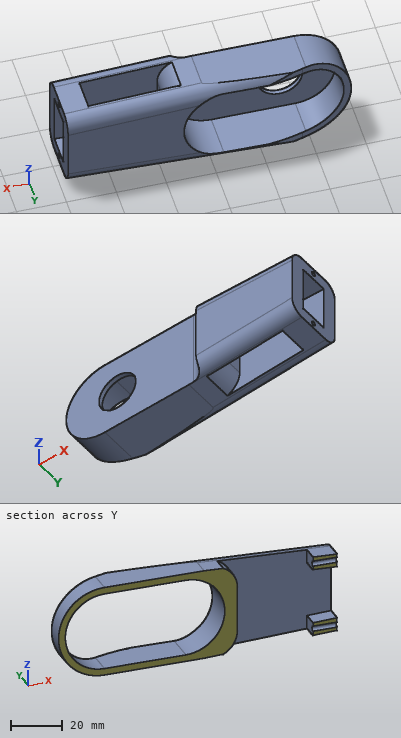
import cadquery as cq
import math

length = 115.0
depth = 27.0
width = 38.0
end_width = 33.1
taper_start = 60.0
edge_radius = 6.0

lug_front = edge_radius
lug_back = depth - edge_radius
tip_radius = width / 2
step_x = 68.1
ramp_length = 40.8

hole_x = 25.1
hole_diameter = 17.9

wall = 3.0
pocket_floor = 8.0
pocket_end = 68.5
pocket_radius = tip_radius - wall
pocket_start = wall

window_start = 68.0
window_end = 105.0
window_front = 7.0
window_back = depth - window_front
roof = 5.6
lip_length = 6.0
lip_radius = 10.0

pin_diameter = 2.0
pin_depth_below_face = 3.0

taper_slope = (width - end_width) / 2 / (length - taper_start)


def half_height(x):
    """Half height of the tapered body at a given X."""
    return end_width / 2 + taper_slope * (length - x)


def extrude_y(outline, y_start, y_end):
    """Extrude a closed XZ outline between two Y positions."""
    return outline.extrude(-(y_end - y_start)).translate((0, y_start, 0))


def make_tapered_body():
    """Long wedge with all four lengthwise edges rounded."""
    start_half = half_height(0)
    end_half = end_width / 2
    outline = (
        cq.Workplane("XZ")
        .moveTo(0, -start_half)
        .lineTo(length, -end_half)
        .lineTo(length, end_half)
        .lineTo(0, start_half)
        .close()
    )
    wedge = extrude_y(outline, 0, depth)
    long_edges = wedge.faces("<Y or >Y").edges("not(|Z)")
    return wedge.newObject(long_edges.vals()).fillet(edge_radius)


def make_plan_limit():
    """Constant-width prism with the semicircular tip."""
    outline = (
        cq.Workplane("XZ")
        .moveTo(tip_radius, -tip_radius)
        .lineTo(length, -tip_radius)
        .lineTo(length, tip_radius)
        .lineTo(tip_radius, tip_radius)
        .threePointArc((0, 0), (tip_radius, -tip_radius))
        .close()
    )
    return extrude_y(outline, 0, depth)


def make_side_limit():
    """Side profile: S-shaped ramp at the back, concave step at the front."""
    return (
        cq.Workplane("XY")
        .moveTo(0, lug_front)
        .lineTo(step_x - edge_radius, lug_front)
        .tangentArcPoint((step_x, 0), relative=False)
        .lineTo(length, 0)
        .lineTo(length, depth)
        .lineTo(ramp_length, depth)
        .tangentArcPoint((ramp_length / 2, (lug_back + depth) / 2), relative=False)
        .tangentArcPoint((0, lug_back), relative=False)
        .close()
        .extrude(width / 2, both=True)
    )


def make_hole():
    """Round hole through the full depth."""
    outline = cq.Workplane("XZ").center(hole_x, 0).circle(hole_diameter / 2)
    return extrude_y(outline, 0, depth)


def make_pocket():
    """Round-ended pocket that leaves a thin front wall."""
    outline = (
        cq.Workplane("XZ")
        .center((pocket_start + pocket_end) / 2, 0)
        .slot2D(pocket_end - pocket_start, 2 * pocket_radius)
    )
    return extrude_y(outline, pocket_floor, depth)


def make_window_half():
    """Upper window with a rounded lip, and the half of the cavity below it."""
    lip_top = half_height(window_start)
    cavity_start = window_start + lip_length
    lip_bottom = lip_top - math.sqrt(lip_radius**2 - (lip_radius - lip_length) ** 2)
    outline = (
        cq.Workplane("XZ")
        .moveTo(cavity_start, 0)
        .lineTo(cavity_start, lip_bottom)
        .radiusArc((window_start, lip_top), -lip_radius)
        .lineTo(window_start, width)
        .lineTo(window_end, width)
        .lineTo(window_end, half_height(window_end) - roof)
        .lineTo(length, half_height(length) - roof)
        .lineTo(length, 0)
        .close()
    )
    return extrude_y(outline, window_front, window_back)


def make_pin_hole():
    """Pin hole from the window end wall to the narrow end of the body."""
    pin_z = half_height(window_end) - pin_depth_below_face
    return (
        cq.Workplane("YZ", origin=(window_end, depth / 2, pin_z))
        .circle(pin_diameter / 2)
        .extrude(length - window_end)
    )


body = make_tapered_body().intersect(make_plan_limit()).intersect(make_side_limit())
result = body.cut(make_hole()).cut(make_pocket())
for upper_cut in (make_window_half(), make_pin_hole()):
    result = result.cut(upper_cut).cut(upper_cut.mirror("XY"))